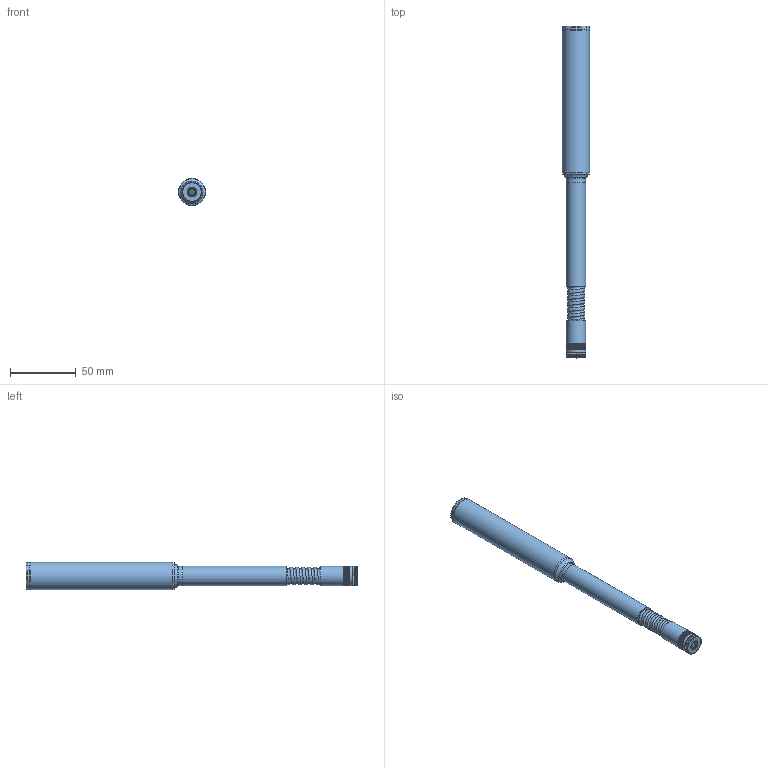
import cadquery as cq
import math

LENGTH = 252.48

GRIP_RADIUS = 10.34
GRIP_FRONT_Y = 139.9
GRIP_FRONT_TAPER = 1.3
GRIP_END_TAPER = 1.2
TAPER_DEPTH = 0.25
END_GROOVE_Y = LENGTH - 3.2
END_GROOVE_WIDTH = 0.8
END_GROOVE_DEPTH = 0.1

SHOULDER_FRONT_RADIUS = 8.1
SHOULDER_FRONT_Y = 137.5
SHOULDER_MIDDLE_RADIUS = 8.85
SHOULDER_MIDDLE_Y = 139.1
NECK_RADIUS = 7.3
NECK_BACK_Y = 136.7
NECK_FRONT_Y = 133.8

SLEEVE_RADIUS = 7.35
SLEEVE_FRONT_Y = 54.5
HEAD_BACK_Y = 28.6
HEAD_FRONT_Y = 0.6

JOINT_RADIUS = 6.6
GROOVE_PITCH = 4.56
GROOVE_RADIUS = 1.1
GROOVE_TOP_Y = 48.7

TOOTH_COUNT = 60
TOOTH_DEPTH = 0.3
BACK_KNURL_Y = (6.4, 11.1)
FRONT_KNURL_Y = (HEAD_FRONT_Y, 3.8)

SOCKET_STEPS = ((3.7, 0.4), (3.2, 0.8), (2.7, 4.0))
PIN_RADIUS = 1.95
PIN_FRONT_Y = 2.5
NEEDLE_RADIUS = 0.4


def cylinder(radius, start_y, end_y):
    """Solid cylinder on the Y axis."""
    return cq.Workplane("XZ", origin=(0, end_y, 0)).circle(radius).extrude(end_y - start_y)


def make_body():
    """Turned body of grip, shoulder, neck, sleeve, joint core and head."""
    groove_back_y = END_GROOVE_Y + END_GROOVE_WIDTH
    groove_floor = GRIP_RADIUS - END_GROOVE_DEPTH
    points_to_shoulder = [
        (0, HEAD_FRONT_Y),
        (SLEEVE_RADIUS, HEAD_FRONT_Y),
        (SLEEVE_RADIUS, HEAD_BACK_Y),
        (JOINT_RADIUS, HEAD_BACK_Y),
        (JOINT_RADIUS, SLEEVE_FRONT_Y),
        (SLEEVE_RADIUS, SLEEVE_FRONT_Y),
        (SLEEVE_RADIUS, NECK_FRONT_Y),
        (NECK_RADIUS, NECK_FRONT_Y),
        (NECK_RADIUS, NECK_BACK_Y),
        (SHOULDER_FRONT_RADIUS, SHOULDER_FRONT_Y),
    ]
    points_from_shoulder = [
        (GRIP_RADIUS, GRIP_FRONT_Y + GRIP_FRONT_TAPER),
        (GRIP_RADIUS, END_GROOVE_Y),
        (groove_floor, END_GROOVE_Y),
        (groove_floor, groove_back_y),
        (GRIP_RADIUS, groove_back_y),
        (GRIP_RADIUS, LENGTH - GRIP_END_TAPER),
        (GRIP_RADIUS - TAPER_DEPTH, LENGTH),
        (0, LENGTH),
    ]
    outline = cq.Workplane("XY").polyline(points_to_shoulder)
    outline = outline.threePointArc(
        (SHOULDER_MIDDLE_RADIUS, SHOULDER_MIDDLE_Y),
        (GRIP_RADIUS - TAPER_DEPTH, GRIP_FRONT_Y),
    )
    for point in points_from_shoulder:
        outline = outline.lineTo(*point)
    return outline.close().revolve(360, (0, 0, 0), (0, 1, 0))


def make_joint_groove():
    """Round helical groove, right-handed about Y, kept between the head and the sleeve."""
    turns_toward_head = math.ceil((GROOVE_TOP_Y - HEAD_BACK_Y) / GROOVE_PITCH) + 1
    turns_toward_sleeve = math.ceil((SLEEVE_FRONT_Y - GROOVE_TOP_Y) / GROOVE_PITCH) + 1
    turns = turns_toward_head + turns_toward_sleeve
    start_y = GROOVE_TOP_Y - turns_toward_head * GROOVE_PITCH
    path = cq.Wire.makeHelix(GROOVE_PITCH, turns * GROOVE_PITCH, JOINT_RADIUS)
    section = cq.Workplane("XZ", origin=(JOINT_RADIUS, 0, 0)).circle(GROOVE_RADIUS)
    groove = section.sweep(cq.Workplane(path), isFrenet=True)
    groove = groove.rotate((0, 0, 0), (1, 0, 0), -90)
    groove = groove.rotate((0, 0, 0), (0, 1, 0), -90)
    groove = groove.translate((0, start_y, 0))
    return groove.intersect(cylinder(SLEEVE_RADIUS + GROOVE_RADIUS, HEAD_BACK_Y, SLEEVE_FRONT_Y))


def make_knurl_cutter(start_y, end_y):
    """Ring whose toothed bore leaves V-shaped knurling along Y."""
    points = []
    for index in range(2 * TOOTH_COUNT):
        radius = SLEEVE_RADIUS - TOOTH_DEPTH * (index % 2)
        angle = math.pi * index / TOOTH_COUNT
        points.append((radius * math.cos(angle), radius * math.sin(angle)))
    plane = cq.Workplane("XZ", origin=(0, end_y, 0))
    teeth = plane.polyline(points).close().extrude(end_y - start_y)
    return cylinder(SLEEVE_RADIUS + TOOTH_DEPTH, start_y, end_y).cut(teeth)


def cut_socket(body):
    """Body with the stepped round socket sunk into its head face."""
    start_y = HEAD_FRONT_Y
    for radius, depth in SOCKET_STEPS:
        body = body.cut(cylinder(radius, start_y, start_y + depth))
        start_y += depth
    return body


def make_pin():
    """Pin standing in the socket, with the needle reaching past the head face."""
    floor_y = HEAD_FRONT_Y + sum(depth for _, depth in SOCKET_STEPS)
    pin = cylinder(PIN_RADIUS, PIN_FRONT_Y, floor_y)
    return pin.union(cylinder(NEEDLE_RADIUS, 0, floor_y))


body = make_body().cut(make_joint_groove())
for band in (BACK_KNURL_Y, FRONT_KNURL_Y):
    body = body.cut(make_knurl_cutter(*band))
result = cut_socket(body).union(make_pin())